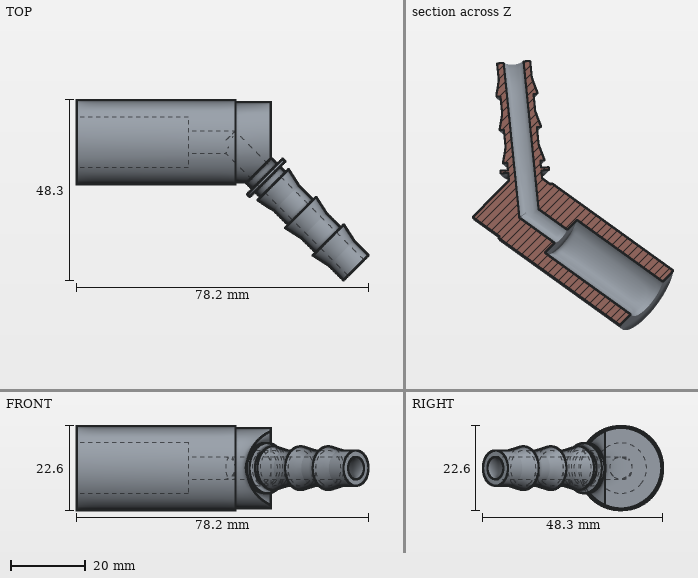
import cadquery as cq
import math

sleeve_diameter = 22.6
sleeve_length = 42.6
socket_diameter = 13.6
socket_depth = 30.0

elbow_diameter = 21.6
elbow_end_x = 52.0
bend_x = 41.2
bend_angle = 45.0
mitre_distance = 10.7

spout_diameter = 9.5
spout_length = 36.82
passage_diameter = 6.0
flange_diameter = 13.5
flange_start = 2.3
flange_thickness = 1.0
barb_diameter = 11.75
barb_start = 5.4
barb_length = 5.1
barb_pitch = 10.45
barb_count = 3


def cylinder_along_x(diameter, start, end):
    """Cylinder on the X axis between two X positions."""
    return cq.Workplane("YZ").workplane(offset=start).circle(diameter / 2).extrude(end - start)


def turn_to_spout(shape):
    """Move a shape built along X from the origin onto the spout axis at the bend point."""
    return shape.rotate((0, 0, 0), (0, 0, 1), -bend_angle).translate((bend_x, 0, 0))


def make_body():
    """Sleeve and elbow, with the elbow corner removed at the mitre face."""
    sleeve = cylinder_along_x(sleeve_diameter, 0, sleeve_length)
    elbow = cylinder_along_x(elbow_diameter, sleeve_length, elbow_end_x)
    cutter_size = 2 * sleeve_diameter
    corner = cq.Workplane("XY").box(cutter_size, cutter_size, cutter_size)
    corner = corner.translate((mitre_distance + cutter_size / 2, 0, 0))
    return sleeve.union(elbow).cut(turn_to_spout(corner))


def make_barb(start):
    """Conical barb, widest at its start and tapering down to the spout diameter."""
    return (
        cq.Workplane("XY")
        .moveTo(start, 0)
        .lineTo(start, barb_diameter / 2)
        .lineTo(start + barb_length, spout_diameter / 2)
        .lineTo(start + barb_length, 0)
        .close()
        .revolve(360, (0, 0, 0), (1, 0, 0))
    )


def make_spout():
    """Tube from the bend point to the tip, with its flange and barbs."""
    spout = cylinder_along_x(spout_diameter, 0, mitre_distance + spout_length)
    flange_x = mitre_distance + flange_start
    spout = spout.union(cylinder_along_x(flange_diameter, flange_x, flange_x + flange_thickness))
    for index in range(barb_count):
        spout = spout.union(make_barb(mitre_distance + barb_start + index * barb_pitch))
    return turn_to_spout(spout)


def make_bores():
    """Socket in the sleeve and the passage that follows the bend out to the tip."""
    socket = cylinder_along_x(socket_diameter, 0, socket_depth)
    mitre_overrun = passage_diameter / 2 * math.tan(math.radians(bend_angle / 2))
    inlet = cylinder_along_x(passage_diameter, socket_depth, bend_x + mitre_overrun)
    outlet = turn_to_spout(
        cylinder_along_x(passage_diameter, -mitre_overrun, mitre_distance + spout_length)
    )
    return socket.union(inlet).union(outlet)


result = make_body().union(make_spout()).cut(make_bores())